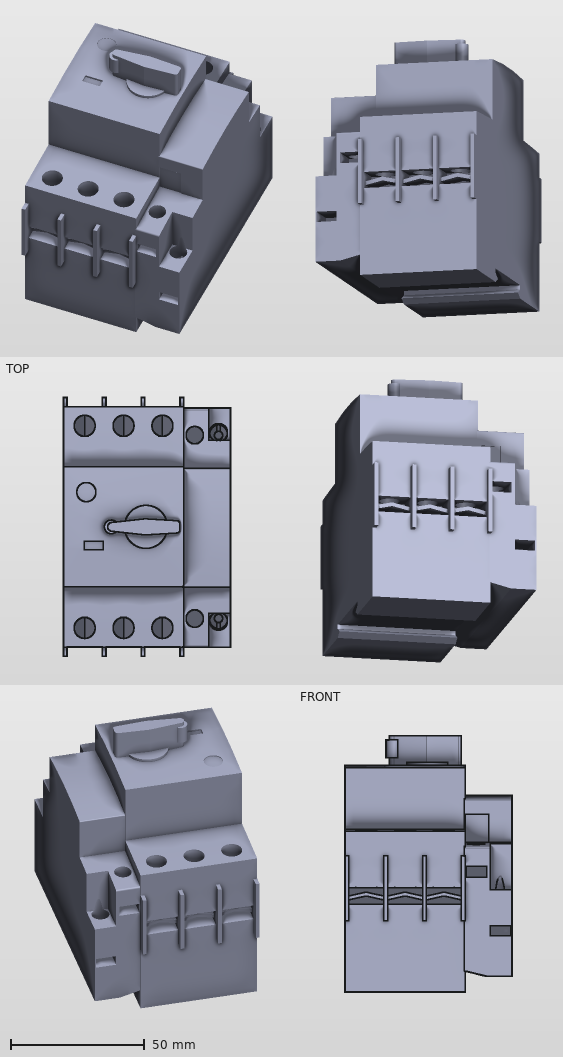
import cadquery as cq

wall = 1.5
pole_pitch = 14.55
pole_count = 3
breaker_width = pole_count * pole_pitch + wall
body_half = 45.0
tower_half = 22.4
crown_top = 85.0
crown_edge = 84.0
shoulder_root = 61.0
shoulder_edge = 60.1

fin_reach = 48.5
fin_bottom = 26.7
fin_top = 51.0

rail_half = 17.7
rail_depth = 5.1
rail_lip_half = 14.4
rail_lip_height = 3.5

screw_hole_dia = 7.9
screw_hole_y = 37.8
window_bottom = 33.0
window_top = 39.1
window_inner_y = screw_hole_y - screw_hole_dia / 2
bay_width = pole_pitch - wall
clamp_setback = 2.4
clamp_thickness = 1.5
clamp_rise = 1.5
clamp_ridge = 37.4

button_x = 8.6
button_y = 13.0
button_dia = 7.2
button_depth = 0.3
slot_x = 11.35
slot_y = -7.0
slot_length = 7.1
slot_width = 3.2
slot_depth = 0.8

disc_x = 30.9
disc_dia = 16.1
disc_top = 86.0
lever_top = 96.0
lever_mid_x = 30.6
lever_half_mid = 3.0
lever_tip_x = 16.6
lever_tip_radius = 1.65
lever_end_x = 43.65
lever_end_half = 2.2
lever_end_radius = 1.2
sleeve_x = 17.9
sleeve_dia = 5.1
sleeve_bottom = 87.7
sleeve_top = 94.4
seat_z = 82.45

seat_depth = 0.4
aux_left = breaker_width - seat_depth
aux_right = 62.7
aux_width = aux_right - aux_left
aux_shift = -0.3
aux_half = 44.8
aux_reach = aux_half - aux_shift
aux_tower_half = 22.3
aux_bottom = 5.9
aux_crown_top = 73.6
aux_crown_edge = 72.4
aux_shoulder_root = 56.2
aux_shoulder_edge = 54.6
aux_crown_edge_radius = 0.4
aux_shoulder_edge_radius = 0.7
bevel_width = 8.2
bevel_height = 2.0

panel_right = 53.8
panel_top = 66.6
panel_depth = 0.3

notch_left = 54.4
notch_floor = 38.4
notch_inner_y = 32.4

access_x = 49.2
access_y = 34.3
access_dia = 6.5
upper_window = (45.4, 53.2, 43.0, 47.0)
lower_window = (notch_left, 62.2, 21.05, 24.9)
aux_window_inner_y = 31.0

terminal_x = 58.1
terminal_y = 35.3
terminal_dia = 6.7
terminal_tilt = 5.0
well_overrun = 1.9
terminal_ridge = 32.0
terminal_ridge_rise = 0.9
pin_hole_y = 34.2
pin_hole_dia = 3.1
pin_hole_floor = 29.1
rod_dia = 1.5


def box(x0, x1, y0, y1, z0, z1):
    return cq.Workplane("XY").box(x1 - x0, y1 - y0, z1 - z0, centered=False).translate((x0, y0, z0))


def post(x, y, dia, z0, z1):
    return cq.Workplane("XY", origin=(x, y, z0)).circle(dia / 2).extrude(z1 - z0)


def both_ends(shape):
    """The +Y shape together with its mirror image at -Y."""
    return shape.union(shape.mirror("XZ"))


def shoulder_midpoint(root_y, root_z, edge_y, edge_z):
    """Middle point of an arc through root and edge whose centre lies on the mid plane."""
    radius = (edge_y**2 - root_y**2) / (2 * (root_z - edge_z))
    mid_y = (root_y + edge_y) / 2
    return mid_y, root_z - (mid_y**2 - root_y**2) / (2 * radius)


def stepped_profile(x0, width, half, tower, bottom, root_z, edge_z, tower_edge, tower_top):
    """Tower with bowed crown standing on a wider base with bowed shoulders, extruded along X."""
    mid_y, mid_z = shoulder_midpoint(tower, root_z, half, edge_z)
    return (
        cq.Workplane("YZ", origin=(x0, 0, 0))
        .moveTo(-half, bottom)
        .lineTo(half, bottom)
        .lineTo(half, edge_z)
        .threePointArc((mid_y, mid_z), (tower, root_z))
        .lineTo(tower, tower_edge)
        .threePointArc((0, tower_top), (-tower, tower_edge))
        .lineTo(-tower, root_z)
        .threePointArc((-mid_y, mid_z), (-half, edge_z))
        .close()
        .extrude(width)
    )


def gable(x_mid, half_width, y0, y1, ridge, rise, thickness):
    """Ridged plate running along Y, of constant vertical thickness."""
    return (
        cq.Workplane("XZ", origin=(x_mid, y1, 0))
        .polyline([
            (-half_width, ridge - rise),
            (0, ridge),
            (half_width, ridge - rise),
            (half_width, ridge - rise - thickness),
            (0, ridge - thickness),
            (-half_width, ridge - rise - thickness),
        ])
        .close()
        .extrude(y1 - y0)
    )


def rail_slot():
    """Snap-on slot for the mounting rail, with pointed lips."""
    return (
        cq.Workplane("YZ")
        .polyline([
            (-rail_half, 0),
            (-rail_lip_half, rail_lip_height / 2),
            (-rail_half, rail_lip_height),
            (-rail_half, rail_depth),
            (rail_half, rail_depth),
            (rail_half, rail_lip_height),
            (rail_lip_half, rail_lip_height / 2),
            (rail_half, 0),
        ])
        .close()
        .extrude(breaker_width)
    )


def barrier_fins():
    fins = cq.Workplane("XY")
    for i in range(pole_count + 1):
        x0 = i * pole_pitch
        fins = fins.union(box(x0, x0 + wall, body_half - wall, fin_reach, fin_bottom, fin_top))
    return both_ends(fins)


def pole_cavities():
    """Wire window and screw hole of every pole, less the ridged clamp plate between them."""
    cavities = cq.Workplane("XY")
    for i in range(pole_count):
        left = i * pole_pitch + wall
        middle = left + bay_width / 2
        window = box(left, left + bay_width, window_inner_y, body_half, window_bottom, window_top)
        screw_hole = post(middle, screw_hole_y, screw_hole_dia, window_bottom, crown_edge)
        clamp = gable(middle, bay_width / 2, window_inner_y, body_half - clamp_setback,
                      clamp_ridge, clamp_rise, clamp_thickness)
        cavities = cavities.union(window.union(screw_hole).cut(clamp))
    return both_ends(cavities)


def front_markers():
    """Shallow round button seat and rectangular setting slot in the crown."""
    def crown_height(y):
        return crown_top - (crown_top - crown_edge) * (y / tower_half)**2

    seat = post(button_x, button_y, button_dia, crown_height(button_y) - button_depth, crown_top)
    slot_floor = crown_height(slot_y) - slot_depth
    slot = box(slot_x - slot_length / 2, slot_x + slot_length / 2,
               slot_y - slot_width / 2, slot_y + slot_width / 2, slot_floor, crown_top)
    return seat.union(slot)


def rotary_handle():
    disc = post(disc_x, 0, disc_dia, seat_z, disc_top)
    tip_centre = lever_tip_x + lever_tip_radius
    lever = (
        cq.Workplane("XY", origin=(0, 0, seat_z))
        .moveTo(tip_centre, -lever_tip_radius)
        .lineTo(lever_mid_x, -lever_half_mid)
        .lineTo(lever_end_x, -lever_end_half)
        .lineTo(lever_end_x, lever_end_half)
        .lineTo(lever_mid_x, lever_half_mid)
        .lineTo(tip_centre, lever_tip_radius)
        .threePointArc((lever_tip_x, 0), (tip_centre, -lever_tip_radius))
        .close()
        .extrude(lever_top - seat_z)
        .edges("|Z and >X")
        .fillet(lever_end_radius)
    )
    sleeve = post(sleeve_x, 0, sleeve_dia, sleeve_bottom, sleeve_top)
    return disc.union(lever).union(sleeve)


def terminal_well():
    """Tilted screwdriver well with a ridged floor, a rod along the ridge and a blind pin hole."""
    half = terminal_dia / 2
    well_bottom = terminal_ridge - terminal_ridge_rise
    well = (
        post(terminal_x, terminal_y, terminal_dia, well_bottom - well_overrun, aux_shoulder_root)
        .rotate((0, terminal_y, notch_floor), (1, terminal_y, notch_floor), -terminal_tilt)
    )
    floor = gable(terminal_x, half, terminal_y - terminal_dia, terminal_y + terminal_dia,
                  terminal_ridge, terminal_ridge_rise, terminal_dia)
    rod = (
        cq.Workplane("XZ", origin=(terminal_x, terminal_y + terminal_dia, terminal_ridge))
        .circle(rod_dia / 2)
        .extrude(2 * terminal_dia)
    )
    pin_hole = post(terminal_x, pin_hole_y, pin_hole_dia, pin_hole_floor, notch_floor)
    return well.cut(floor).cut(rod).union(pin_hole)


def aux_end_cuts():
    """All openings of the +Y end of the auxiliary block."""
    notch = box(notch_left, aux_right, notch_inner_y, aux_reach, notch_floor, aux_shoulder_root)
    cuts = notch.union(post(access_x, access_y, access_dia, upper_window[2], aux_shoulder_root))
    for left, right, bottom, top in (upper_window, lower_window):
        cuts = cuts.union(box(left, right, aux_window_inner_y, aux_reach, bottom, top))
    return cuts.union(terminal_well())


def aux_block():
    block = stepped_profile(aux_left, aux_width, aux_half, aux_tower_half, aux_bottom,
                            aux_shoulder_root, aux_shoulder_edge, aux_crown_edge, aux_crown_top)
    rounded_edges = (
        (aux_half, aux_shoulder_edge, aux_shoulder_edge_radius),
        (aux_tower_half, aux_crown_edge, aux_crown_edge_radius),
    )
    for y, z, radius in rounded_edges:
        for side in (-1, 1):
            edge = cq.selectors.NearestToPointSelector((aux_left + aux_width / 2, side * y, z))
            block = block.edges(edge).fillet(radius)
    bevel = (
        cq.Workplane("XZ", origin=(aux_left, aux_half, aux_bottom))
        .polyline([(0, 0), (bevel_width, 0), (0, bevel_height)])
        .close()
        .extrude(2 * aux_half)
    )
    panel = box(aux_left, panel_right, -aux_tower_half, -aux_tower_half + panel_depth,
                aux_shoulder_root, panel_top)
    block = block.cut(bevel).cut(panel).translate((0, aux_shift, 0))
    return block.cut(both_ends(aux_end_cuts()))


def breaker_body():
    body = stepped_profile(0, breaker_width, body_half, tower_half, 0,
                           shoulder_root, shoulder_edge, crown_edge, crown_top)
    body = body.cut(rail_slot()).cut(pole_cavities()).cut(front_markers())
    return body.union(barrier_fins()).union(rotary_handle())


aux = aux_block()
breaker = breaker_body().cut(aux)

result = cq.Compound.makeCompound([breaker.val(), aux.val()])